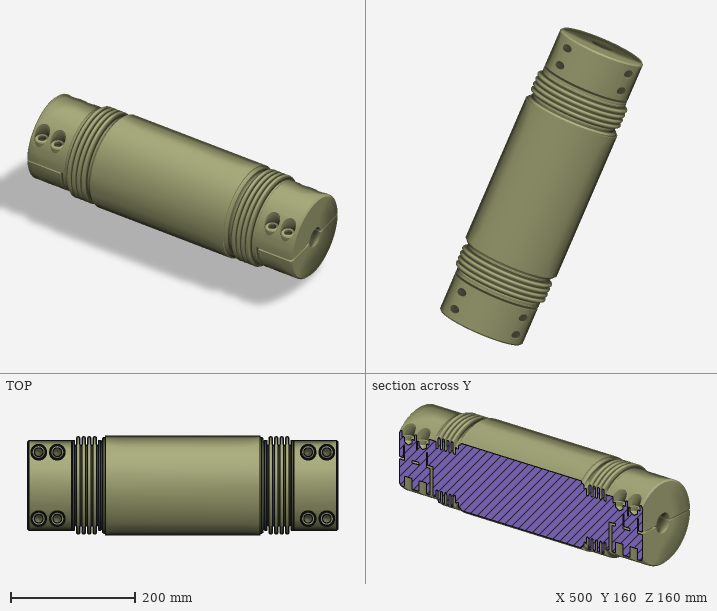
import cadquery as cq
import math

length = 500.0
half_length = length / 2

tube_diameter = 160.0
tube_start = 125.5
collar_diameter = 155.0
collar_chamfer = 2.5
collar_start = 120.5

hub_diameter = 145.0
hub_length = 71.0
hub_end_chamfer = 2.5
bore_diameter = 35.0
bore_depth = 85.0

ring_diameter = 145.0
ring_chamfer = 0.5
neck_diameter = 143.0
outer_ring_start = 72.0
outer_ring_end = 75.5
inner_ring_start = 114.5
inner_ring_end = 118.0
fin_count = 4
fin_span = 35.5
fin_pitch = fin_span / fin_count
fin_gap = 3.5
fin_width = fin_pitch - fin_gap
fin_diameter = 157.0
root_diameter = 130.0

split_gap = 3.5
jaw_length = 63.5
jaw_wall_position = 68.5

screw_positions = (18.0, 48.0)
screw_offset = 53.5
head_diameter = 24.0
head_height = 16.0
head_chamfer = 1.5
head_top = 39.5
socket_diameter = 14.0
socket_depth = 8.0
drill_point_angle = 118.0
shank_diameter = 17.0
counterbore_diameter = 25.0
clearance_diameter = 17.5
thread_core_diameter = 14.0
shank_reach = 30.0


def add_ring(outline, start, end, radius_after):
    """Extend the outline over a chamfered weld ring and drop to the next radius."""
    ring_radius = ring_diameter / 2
    return (
        outline.lineTo(start, ring_radius - ring_chamfer)
        .lineTo(start + ring_chamfer, ring_radius)
        .lineTo(end - ring_chamfer, ring_radius)
        .lineTo(end, ring_radius - ring_chamfer)
        .lineTo(end, radius_after)
    )


def make_blank():
    """Half of the revolved body, from the hub face to the middle of the tube."""
    hub_radius = hub_diameter / 2
    neck_radius = neck_diameter / 2
    collar_radius = collar_diameter / 2
    tube_radius = tube_diameter / 2
    root_radius = root_diameter / 2
    tip_arc = fin_width / 2
    root_arc = fin_gap / 2
    tip_side = fin_diameter / 2 - tip_arc
    root_side = root_radius + root_arc
    first_fin = (outer_ring_end + inner_ring_start - fin_span + fin_pitch) / 2

    profile = (
        cq.Workplane("XY")
        .moveTo(0, 0)
        .lineTo(0, hub_radius - hub_end_chamfer)
        .lineTo(hub_end_chamfer, hub_radius)
        .lineTo(hub_length, hub_radius)
        .lineTo(hub_length, neck_radius)
        .lineTo(outer_ring_start, neck_radius)
    )
    profile = add_ring(profile, outer_ring_start, outer_ring_end, root_radius)
    profile = profile.lineTo(first_fin - fin_pitch / 2, root_radius)
    for index in range(fin_count):
        center = first_fin + index * fin_pitch
        rise = center - tip_arc
        fall = center + tip_arc
        profile = (
            profile.radiusArc((rise, root_side), -root_arc)
            .lineTo(rise, tip_side)
            .threePointArc((center, fin_diameter / 2), (fall, tip_side))
            .lineTo(fall, root_side)
            .radiusArc((center + fin_pitch / 2, root_radius), -root_arc)
        )
    profile = profile.lineTo(inner_ring_start, root_radius)
    profile = add_ring(profile, inner_ring_start, inner_ring_end, neck_radius)
    profile = (
        profile.lineTo(collar_start, neck_radius)
        .lineTo(collar_start, collar_radius - collar_chamfer)
        .lineTo(collar_start + collar_chamfer, collar_radius)
        .lineTo(tube_start, collar_radius)
        .lineTo(tube_start, tube_radius)
        .lineTo(half_length, tube_radius)
        .lineTo(half_length, 0)
        .close()
    )
    return profile.revolve(360, (0, 0, 0), (1, 0, 0))


def vertical_cylinder(diameter, bottom, top):
    return cq.Workplane("XY").workplane(offset=bottom).circle(diameter / 2).extrude(top - bottom)


def make_head():
    """Upright socket head, underside at z = 0, with a cone-bottomed socket."""
    head = vertical_cylinder(head_diameter, 0, head_height).faces(">Z").chamfer(head_chamfer)
    socket_radius = socket_diameter / 2
    cone_height = socket_radius / math.tan(math.radians(drill_point_angle / 2))
    socket = (
        cq.Workplane("XZ")
        .moveTo(0, head_height)
        .lineTo(socket_radius, head_height)
        .lineTo(socket_radius, head_height - socket_depth)
        .lineTo(0, head_height - socket_depth - cone_height)
        .close()
        .revolve(360, (0, 0, 0), (0, 1, 0))
    )
    return head.cut(socket)


def split_hub(body):
    """Bore the hub and cut the gaps that free the lower jaw."""
    bore = cq.Workplane("YZ").circle(bore_diameter / 2).extrude(bore_depth)
    split = cq.Workplane("XY").box(
        jaw_wall_position, hub_diameter, split_gap, centered=(False, True, True)
    )
    wall_gap = (
        cq.Workplane("XY")
        .box(jaw_wall_position - jaw_length, hub_diameter, hub_diameter / 2, centered=(False, True, False))
        .translate((jaw_length, 0, -hub_diameter / 2))
    )
    return body.cut(bore).cut(split).cut(wall_gap)


def add_clamp_screws(body):
    """Counterbored clamp screws whose shanks hold the jaw to the hub."""
    seat = head_top - head_height
    hub_radius = hub_diameter / 2
    hole = (
        vertical_cylinder(counterbore_diameter, seat, hub_radius)
        .union(vertical_cylinder(clearance_diameter, 0, seat))
        .union(vertical_cylinder(thread_core_diameter, -hub_radius, 0))
    )
    screw = make_head().translate((0, 0, seat)).union(vertical_cylinder(shank_diameter, -shank_reach, seat))
    for x in screw_positions:
        for y in (-screw_offset, screw_offset):
            body = body.cut(hole.translate((x, y, 0))).union(screw.translate((x, y, 0)))
    return body


def add_axial_screw(body):
    """Socket head standing on the floor of the bore, facing outward."""
    head = make_head().rotate((0, 0, 0), (0, 1, 0), -90)
    return body.union(head.translate((bore_depth, 0, 0)))


half = add_axial_screw(add_clamp_screws(split_hub(make_blank())))
half = half.translate((-half_length, 0, 0))
result = half.union(half.mirror("YZ"))